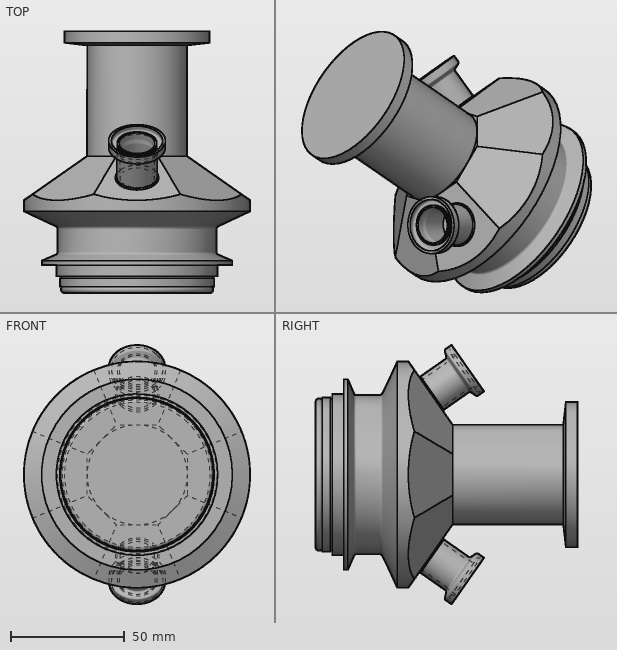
import cadquery as cq
import math

TOTAL_LENGTH = 115.2

FLANGE_RADIUS = 63.9 / 2
FLANGE_RIM_LENGTH = 5.2
FLANGE_LENGTH = 6.3
TUBE_RADIUS = 44.0 / 2

FACET_COUNT = 8
FACET_START = 55.0
FACET_TILT = 35.0
COLLAR_RADIUS = 99.5 / 2
COLLAR_END = 79.3
BACK_CONE_END = 86.2

NECK_RADIUS = 70.0 / 2
NECK_FILLET = 1.3
RIM_FILLET = 0.9
RIM_CONE_START = 97.9
RIM_CONE_END = 100.9
RIM_END = 102.9
RIM_RADIUS = 83.9 / 2
SPIGOT_RADIUS = 71.0 / 2
SPIGOT_END = 107.8
GROOVE_END = 108.6
BAND_RADIUS = 68.0 / 2
BAND_END = 112.3
GROOVE_RADIUS = 67.0 / 2
BEAD_START_RADIUS = 33.0
BEAD_RADIUS = 33.5
BEAD_CREST = 113.7
END_FACE_RADIUS = 64.0 / 2

NOZZLE_FOOT_HEIGHT = 35.5
NOZZLE_LENGTH = 19.7
NOZZLE_RADIUS = 18.0 / 2
FOOT_CHAMFER = 0.6
NOZZLE_FLANGE_RADIUS = 25.0 / 2
NOZZLE_RIM_LENGTH = 3.8
NOZZLE_FLANGE_LENGTH = 5.2
NOZZLE_BORE_RADIUS = 15.0 / 2
MOUTH_RADIUS = 15.8 / 2
MOUTH_DEPTH = 4.8
MOUTH_TAPER_LENGTH = 1.7
LIP_RADIUS = 8.8
LIP_SETBACK = 1.3
FACE_GROOVE_RADIUS = 11.3
FACE_GROOVE_DEPTH = 2.5
FACE_GROOVE_FILLET = 0.9
NOZZLE_FLANGE_FILLET = 0.7

SELECT_MARGIN = 0.1
Y_FLANGE_FACE = TOTAL_LENGTH / 2
FACET_SLOPE = math.tan(math.radians(FACET_TILT))


def facet_position(radius):
    """Axial position of the middle of a facet at the given distance from the axis."""
    return FACET_START + (radius - TUBE_RADIUS) * FACET_SLOPE


def revolve_about_y(points):
    """Solid of revolution from (radius, distance from flange face) points."""
    outline = [(radius, Y_FLANGE_FACE - position) for radius, position in points]
    return cq.Workplane("XY").polyline(outline).close().revolve(360, (0, 0), (0, 1))


def make_flanged_tube():
    return revolve_about_y([
        (0, 0),
        (FLANGE_RADIUS, 0),
        (FLANGE_RADIUS, FLANGE_RIM_LENGTH),
        (TUBE_RADIUS, FLANGE_LENGTH),
        (TUBE_RADIUS, FACET_START),
        (0, FACET_START),
    ])


def make_octagon_wire(apothem, position):
    """Octagon across the housing axis, with flats facing X and Z."""
    corner_radius = apothem / math.cos(math.pi / FACET_COUNT)
    corners = []
    for index in range(FACET_COUNT):
        angle = (index + 0.5) * 2 * math.pi / FACET_COUNT
        x = corner_radius * math.cos(angle)
        z = corner_radius * math.sin(angle)
        corners.append(cq.Vector(x, Y_FLANGE_FACE - position, z))
    return cq.Wire.makePolygon(corners, close=True)


def make_shoulder():
    """Octagonal frustum trimmed by the round collar, with its back cone."""
    facet_end = facet_position(COLLAR_RADIUS)
    frustum = cq.Solid.makeLoft(
        [make_octagon_wire(TUBE_RADIUS, FACET_START), make_octagon_wire(COLLAR_RADIUS, facet_end)],
        True,
    )
    envelope = revolve_about_y([
        (0, FACET_START),
        (COLLAR_RADIUS, FACET_START),
        (COLLAR_RADIUS, facet_end),
        (0, facet_end),
    ])
    collar = revolve_about_y([
        (0, facet_end),
        (COLLAR_RADIUS, facet_end),
        (COLLAR_RADIUS, COLLAR_END),
        (NECK_RADIUS, BACK_CONE_END),
        (0, BACK_CONE_END),
    ])
    return envelope.intersect(cq.Workplane(frustum)).union(collar)


def make_clamp_end():
    """Neck, conical clamp rim, spigot, groove and band."""
    return revolve_about_y([
        (0, BACK_CONE_END),
        (NECK_RADIUS, BACK_CONE_END),
        (NECK_RADIUS, RIM_CONE_START),
        (RIM_RADIUS, RIM_CONE_END),
        (RIM_RADIUS, RIM_END),
        (SPIGOT_RADIUS, RIM_END),
        (SPIGOT_RADIUS, SPIGOT_END),
        (GROOVE_RADIUS, SPIGOT_END),
        (GROOVE_RADIUS, GROOVE_END),
        (BAND_RADIUS, GROOVE_END),
        (BAND_RADIUS, BAND_END),
        (0, BAND_END),
    ])


def make_end_plug():
    """Closed end with a bulging rounded edge."""
    y_start = Y_FLANGE_FACE - BAND_END
    y_crest = Y_FLANGE_FACE - BEAD_CREST
    y_end = Y_FLANGE_FACE - TOTAL_LENGTH
    outline = (
        cq.Workplane("XY")
        .moveTo(0, y_start)
        .lineTo(BEAD_START_RADIUS, y_start)
        .threePointArc((BEAD_RADIUS, y_crest), (END_FACE_RADIUS, y_end))
        .lineTo(0, y_end)
        .close()
    )
    return outline.revolve(360, (0, 0), (0, 1))


def round_edge(radius, y):
    """Selector for the circle about Y with the given radius and height, and any inside it."""
    reach = radius + SELECT_MARGIN
    return cq.selectors.BoxSelector(
        (-reach, y - SELECT_MARGIN, -reach), (reach, y + SELECT_MARGIN, reach), boundingbox=True
    )


def make_housing():
    housing = make_flanged_tube().union(make_shoulder()).union(make_clamp_end())
    housing = housing.union(make_end_plug())
    housing = housing.edges(round_edge(NECK_RADIUS, Y_FLANGE_FACE - BACK_CONE_END)).fillet(NECK_FILLET)
    return housing.edges(round_edge(NECK_RADIUS, Y_FLANGE_FACE - RIM_CONE_START)).fillet(RIM_FILLET)


def make_nozzle(side):
    """Flanged nozzle standing on the upper (side = 1) or lower (side = -1) facet."""
    face = NOZZLE_LENGTH
    groove_floor = face - FACE_GROOVE_DEPTH
    lip = face - LIP_SETBACK
    mouth_floor = face - MOUTH_DEPTH
    outline = [
        (NOZZLE_BORE_RADIUS, 0),
        (NOZZLE_RADIUS + FOOT_CHAMFER, 0),
        (NOZZLE_RADIUS, FOOT_CHAMFER),
        (NOZZLE_RADIUS, face - NOZZLE_FLANGE_LENGTH),
        (NOZZLE_FLANGE_RADIUS, face - NOZZLE_RIM_LENGTH),
        (NOZZLE_FLANGE_RADIUS, face),
        (FACE_GROOVE_RADIUS, face),
        (FACE_GROOVE_RADIUS, groove_floor),
        (LIP_RADIUS, groove_floor),
        (LIP_RADIUS, lip),
        (MOUTH_RADIUS, lip),
        (MOUTH_RADIUS, mouth_floor),
        (NOZZLE_BORE_RADIUS, mouth_floor - MOUTH_TAPER_LENGTH),
    ]
    tilt = math.radians(FACET_TILT)
    foot = cq.Plane(
        origin=(0, Y_FLANGE_FACE - facet_position(NOZZLE_FOOT_HEIGHT), side * NOZZLE_FOOT_HEIGHT),
        xDir=(1, 0, 0),
        normal=(0, -side * math.sin(tilt), math.cos(tilt)),
    )
    nozzle = cq.Workplane("XY").polyline(outline).close().revolve(360, (0, 0), (0, 1))
    flange_back_edges = [
        (NOZZLE_RADIUS, face - NOZZLE_FLANGE_LENGTH),
        (NOZZLE_FLANGE_RADIUS, face - NOZZLE_RIM_LENGTH),
    ]
    for radius, height in flange_back_edges:
        nozzle = nozzle.edges(round_edge(radius, height)).fillet(NOZZLE_FLANGE_FILLET)
    groove_corner = round_edge(FACE_GROOVE_RADIUS, groove_floor) - round_edge(LIP_RADIUS, groove_floor)
    nozzle = nozzle.edges(groove_corner).fillet(FACE_GROOVE_FILLET)
    return cq.Workplane(nozzle.val().moved(cq.Location(foot)))


housing = make_housing()
nozzles = [make_nozzle(side) for side in (1, -1)]
result = cq.Compound.makeCompound([housing.val(), *[nozzle.val() for nozzle in nozzles]])